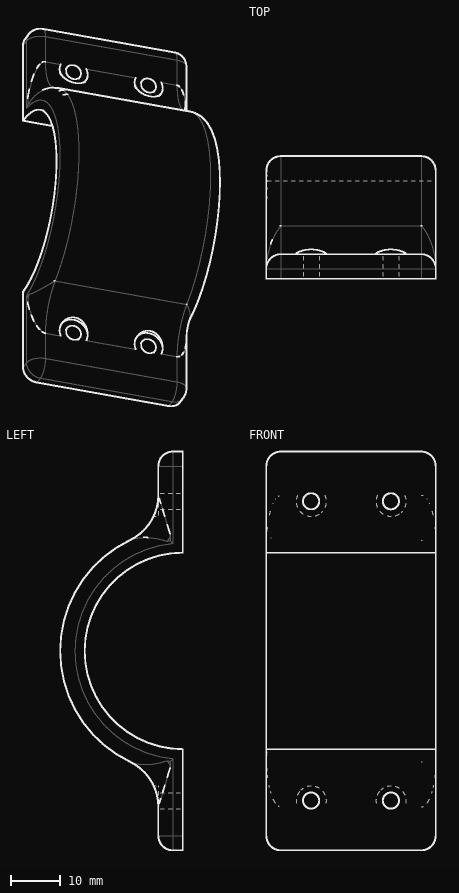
import cadquery as cq
import math

length = 80.0
width = 34.0
thickness = 5.0
outer_radius = 24.6
inner_radius = outer_radius - thickness
edge_radius = 3.0
corner_radius = 3.0
root_radius = 10.0
hole_diameter = 3.2
screw_seat_diameter = 6.0
hole_spacing_x = 16.0
hole_spacing_z = 60.0
taper_steps = 8


def make_flanges():
    """One rounded plate spanning both flanges; the bore later splits it."""
    plate = cq.Workplane("XY").box(width, thickness, length, centered=(True, False, True))
    return plate.edges("|Y").fillet(corner_radius).faces(">Y").edges().fillet(edge_radius)


def make_arch():
    """Half-cylinder about the X axis with both rims rounded."""
    cylinder = cq.Workplane("YZ").circle(outer_radius).extrude(width / 2, both=True)
    rounded = cylinder.edges().fillet(edge_radius)
    behind_face = cq.Workplane("XY").box(
        width, outer_radius, length, centered=(True, False, True)
    )
    return rounded.intersect(behind_face)


def blend_section(x, scale):
    """Root blend section at x, shrunk by scale towards the sharp corner of the side face."""
    side_y = thickness - edge_radius
    side_z = math.sqrt((outer_radius - edge_radius) ** 2 - side_y**2)

    center_y = thickness + root_radius
    center_distance = outer_radius + root_radius
    center_z = math.sqrt(center_distance**2 - center_y**2)
    arch_y = center_y * outer_radius / center_distance
    arch_z = center_z * outer_radius / center_distance
    middle_angle = math.pi + math.atan2(center_z, center_y) / 2
    middle_y = center_y + root_radius * math.cos(middle_angle)
    middle_z = center_z + root_radius * math.sin(middle_angle)

    def shrink(y, z):
        return (side_y + scale * (y - side_y), side_z + scale * (z - side_z))

    return (
        cq.Workplane("YZ", origin=(x, 0, 0))
        .moveTo(side_y, side_z)
        .lineTo(*shrink(thickness, center_z))
        .threePointArc(shrink(middle_y, middle_z), shrink(arch_y, arch_z))
        .close()
    )


def make_upper_root_blend():
    """Concave blend between the upper flange and the arch, tapering to a point at each side."""
    straight_half = width / 2 - edge_radius
    blend = blend_section(-straight_half, 1).extrude(2 * straight_half)

    sections = []
    for step in range(taper_steps):
        angle = math.pi / 2 * step / taper_steps
        x = straight_half + edge_radius * math.sin(angle)
        sections.append(blend_section(x, math.cos(angle)).val())
    taper = cq.Workplane(cq.Solid.makeLoft(sections))
    return blend.union(taper).union(taper.mirror("YZ"))


def make_clamp():
    upper_blend = make_upper_root_blend().cut(make_screw_posts(screw_seat_diameter))
    lower_blend = upper_blend.mirror("XY")
    return make_flanges().union(make_arch()).union(upper_blend).union(lower_blend)


def cut_bore(body):
    bore = cq.Workplane("YZ").circle(inner_radius).extrude(width / 2, both=True)
    return body.cut(bore)


def make_screw_posts(diameter):
    """One cylinder through the part on each of the four screw axes."""
    centers = [
        (x, z)
        for x in (-hole_spacing_x / 2, hole_spacing_x / 2)
        for z in (-hole_spacing_z / 2, hole_spacing_z / 2)
    ]
    posts = cq.Workplane("XZ").pushPoints(centers)
    return posts.circle(diameter / 2).extrude(-outer_radius)


clamp = cut_bore(make_clamp())
result = clamp.cut(make_screw_posts(hole_diameter))